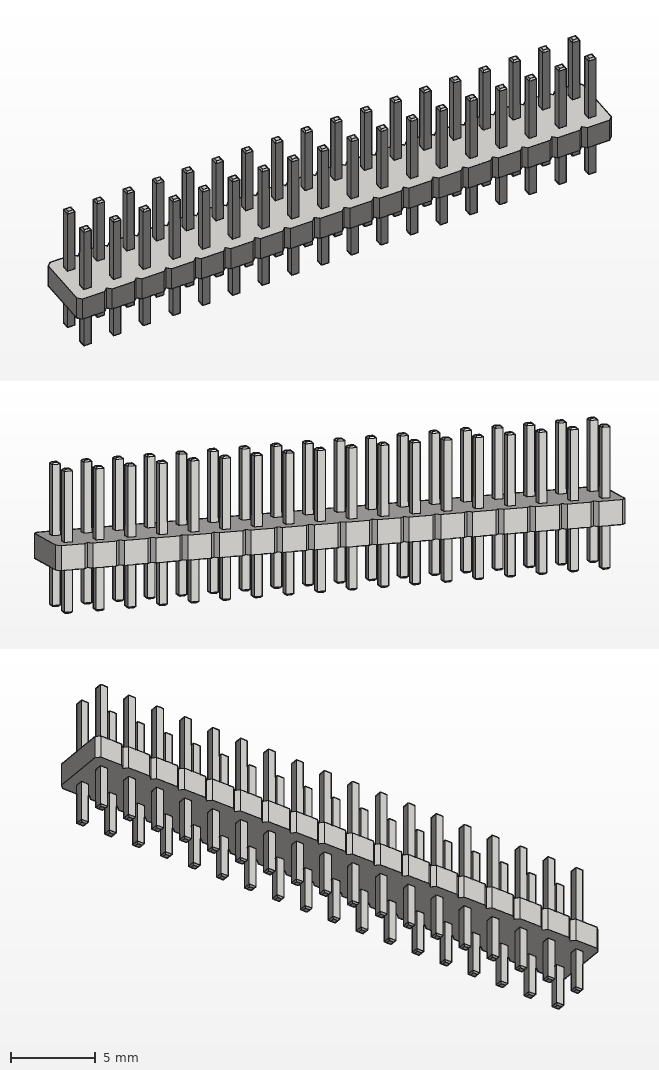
import cadquery as cq

overall_length = 36.0
position_count = 18
row_count = 2
body_height = 1.5
body_corner_chamfer = 0.25
pin_width = 0.5
pin_tip_chamfer = 0.1
pin_length_above = 4.4
pin_length_below = 2.8

pitch = overall_length / position_count
body_width = row_count * pitch
pin_length = pin_length_below + body_height + pin_length_above


def centered_places(count):
    """Coordinates of evenly pitched items, centred on zero."""
    return [(index - (count - 1) / 2) * pitch for index in range(count)]


def make_body():
    """Insulator strip: chamfered segment corners meet in a V notch between neighbours."""
    half_width = body_width / 2
    half_length = overall_length / 2
    segment_starts = [y - pitch / 2 for y in centered_places(position_count)]

    right_edge = []
    for start in segment_starts:
        right_edge.append((half_width - body_corner_chamfer, start))
        right_edge.append((half_width, start + body_corner_chamfer))
        right_edge.append((half_width, start + pitch - body_corner_chamfer))
    right_edge.append((half_width - body_corner_chamfer, half_length))

    left_edge = [(-x, y) for x, y in reversed(right_edge)]
    return cq.Workplane("XY").polyline(right_edge + left_edge).close().extrude(body_height)


def make_pin(x, y):
    """Square pin through the body, chamfered around both tips."""
    return (
        cq.Workplane("XY", origin=(x, y, -pin_length_below))
        .rect(pin_width, pin_width)
        .extrude(pin_length)
        .faces("<Z or >Z")
        .chamfer(pin_tip_chamfer)
    )


result = make_body()
for pin_x in centered_places(row_count):
    for pin_y in centered_places(position_count):
        result = result.union(make_pin(pin_x, pin_y))